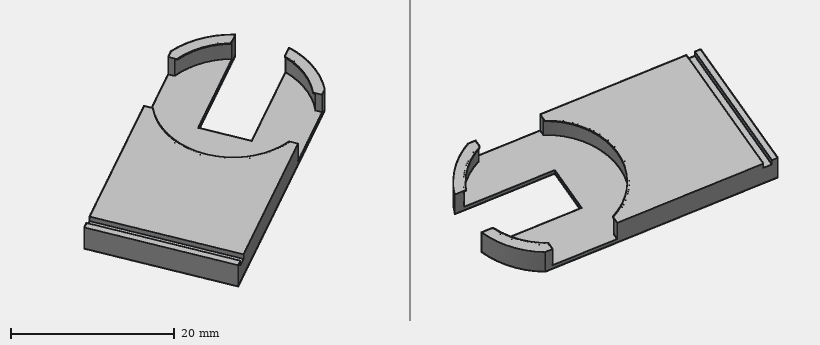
import cadquery as cq
import math

width = 20.0
length = 37.75
height = 3.7
floor_thickness = 0.68

slot_width = 6.95
slot_start = 23.82

pocket_radius = 10.2
lip_radius = 9.93
lip_thickness = 0.15

end_radius = 11.45
center_y = length - math.sqrt(end_radius**2 - (slot_width / 2) ** 2)

opening_length = 9.0

groove_start = 0.83
groove_width = 1.17
groove_depth = 0.8


def cross_cut(start, cut_length, bottom):
    """Full-width box from the given bottom up to the top face."""
    return (
        cq.Workplane("XY")
        .box(width, cut_length, height - bottom, centered=(True, False, False))
        .translate((0, start, bottom))
    )


def rounded_plate():
    """Straight plate whose far end is cut by the end arc."""
    corner_y = center_y + math.sqrt(end_radius**2 - (width / 2) ** 2)
    return (
        cq.Workplane("XY")
        .moveTo(-width / 2, 0)
        .lineTo(width / 2, 0)
        .lineTo(width / 2, corner_y)
        .threePointArc((0, center_y + end_radius), (-width / 2, corner_y))
        .close()
        .extrude(height)
    )


def round_cut(radius, bottom, top):
    """Disc on the pocket axis between two heights."""
    return cq.Workplane("XY", origin=(0, center_y, bottom)).circle(radius).extrude(top - bottom)


lip_bottom = height - lip_thickness
pocket = round_cut(pocket_radius, floor_thickness, lip_bottom)
lip_opening = round_cut(lip_radius, lip_bottom, height)
side_openings = cross_cut(center_y - opening_length / 2, opening_length, floor_thickness)
slot = (
    cq.Workplane("XY")
    .box(slot_width, length, height, centered=(True, False, False))
    .translate((0, slot_start, 0))
)
groove = cross_cut(groove_start, groove_width, height - groove_depth)

result = rounded_plate()
for cutter in (pocket, lip_opening, side_openings, slot, groove):
    result = result.cut(cutter)